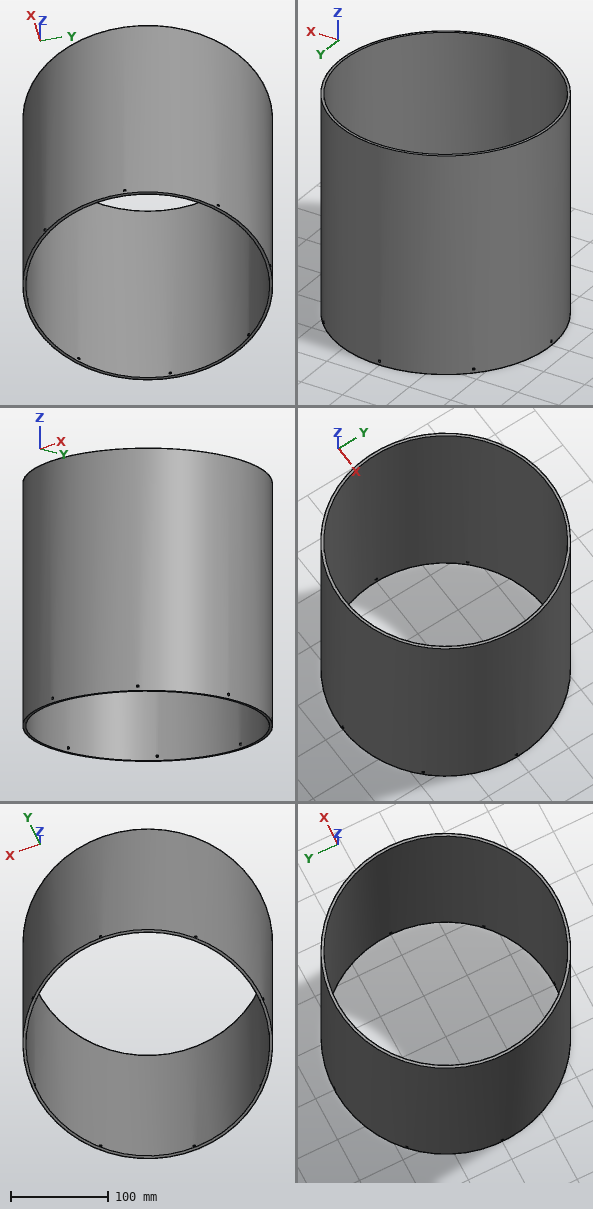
import cadquery as cq

outer_diameter = 256.82
inner_diameter = 250.47
tube_length = 259.73

hole_diameter = 2.44
hole_height = 4.76
hole_count = 8


def tube():
    """Plain open tube standing on the XY plane."""
    return (
        cq.Workplane("XY")
        .circle(outer_diameter / 2)
        .circle(inner_diameter / 2)
        .extrude(tube_length)
    )


def radial_hole(angle):
    """Cutter that passes outward through one side of the wall, turned about Z."""
    return (
        cq.Workplane("YZ")
        .center(0, hole_height)
        .circle(hole_diameter / 2)
        .extrude(outer_diameter)
        .rotate((0, 0, 0), (0, 0, 1), angle)
    )


result = tube()
for index in range(hole_count):
    result = result.cut(radial_hole(index * 360 / hole_count))